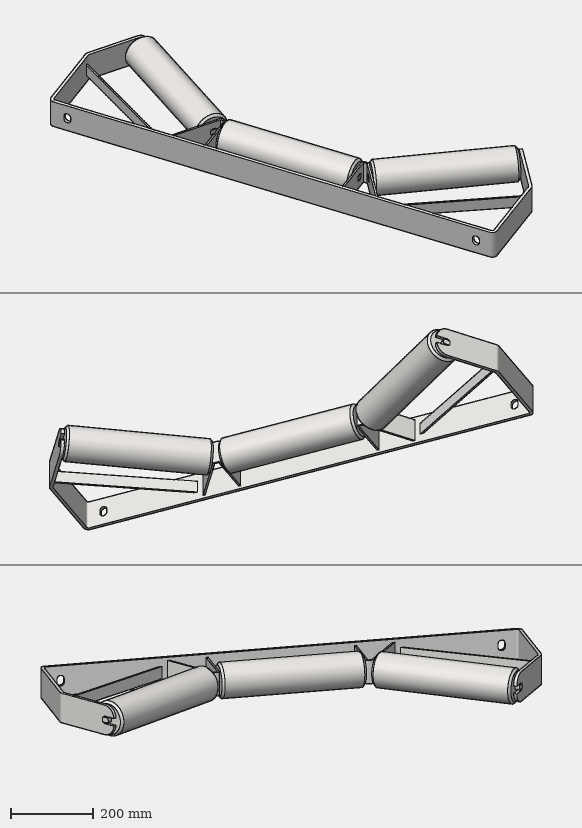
import cadquery as cq
import math


frame_length = 1210.0
strip_thickness = 8.0
strip_height = 76.0
bend_radius = 13.0
bend_height = 209.0
wing_length = 172.0
wing_corner_radius = 30.0
mount_slot_offset = 554.0
mount_slot_width = 18.0
mount_slot_length = 27.0

trough_angle = 35.0
roller_diameter = 90.0
roller_length = 363.0
roller_chamfer = 6.0
shaft_diameter = 19.0
shaft_flats = 13.0
center_axis_height = 102.0
side_axis_height = 111.0

bracket_thickness = 5.0
bracket_height = 128.0
bracket_width = 60.0
bracket_leg_face = 184.0
bracket_foot = 285.0
bracket_corner_radius = 6.0

brace_thickness = 5.0
brace_width = 31.0
brace_wall_height = 198.0
brace_base_offset = 300.0

cos_a = math.cos(math.radians(trough_angle))
sin_a = math.sin(math.radians(trough_angle))
tan_a = sin_a / cos_a
half_length = frame_length / 2
half_roller = roller_length / 2
shaft_radius = shaft_diameter / 2
wing_tip = (half_length - wing_length * sin_a, bend_height + wing_length * cos_a)

side_axis_x = bracket_foot - (side_axis_height - strip_thickness) * tan_a
roller_end_gap = bracket_leg_face - half_roller
side_roller_distance = roller_end_gap + half_roller
wing_distance = (half_length - side_axis_x) * cos_a + (bend_height - side_axis_height) * sin_a


def side_direction(side):
    """Outward direction of the side roller axis on the +X (1) or -X (-1) side."""
    return (side * cos_a, sin_a, 0)


def side_axis_point(distance, side):
    """Point on a side roller axis at a distance from the bracket leg face."""
    return (side * (side_axis_x + distance * cos_a), side_axis_height + distance * sin_a, 0)


def mirrored(points):
    return [(-x, y) for x, y in points]


def extrude_mid(points, width):
    """Prism over an XY outline, centred on Z = 0."""
    return cq.Workplane("XY").polyline(points).close().extrude(width / 2, both=True)


def extrude_side(points, width, side):
    """Prism over an outline given for the +X side, mirrored when side is -1."""
    return extrude_mid(points if side > 0 else mirrored(points), width)


def cylinder_along(origin, direction, radius, start, end):
    """Cylinder between two distances along an axis through origin."""
    axis = cq.Vector(*direction)
    base = cq.Vector(*origin) + axis * start
    return cq.Workplane(cq.Solid.makeCylinder(radius, end - start, base, axis))


def fillet_nearest(body, point, radius):
    """Round the one edge whose centre is nearest to point."""
    return body.edges(cq.selectors.NearestToPointSelector(point)).fillet(radius)


def make_bent_strip():
    t = strip_thickness
    inner_bend = (half_length - t, bend_height - t * math.tan(math.radians(trough_angle / 2)))
    inner_tip = (wing_tip[0] - t * cos_a, wing_tip[1] - t * sin_a)
    outer_face = [(half_length, 0), (half_length, bend_height), wing_tip]
    inner_face = [inner_tip, inner_bend, (half_length - t, t)]
    right_half = outer_face + inner_face
    strip = extrude_mid(right_half + mirrored(right_half[::-1]), strip_height)
    for side in (1, -1):
        for x, y in ((half_length, 0), (half_length, bend_height)):
            strip = fillet_nearest(strip, (side * x, y, 0), bend_radius)
        for x, y in ((half_length - t, t), inner_bend):
            strip = fillet_nearest(strip, (side * x, y, 0), bend_radius - t)
    return strip


def round_wing_corners(frame, side):
    corner_x = wing_tip[0] - strip_thickness / 2 * cos_a
    corner_y = wing_tip[1] - strip_thickness / 2 * sin_a
    for corner_z in (strip_height / 2, -strip_height / 2):
        frame = fillet_nearest(frame, (side * corner_x, corner_y, corner_z), wing_corner_radius)
    return frame


def cut_shaft_slot(frame, side):
    """Slot open at the wing tip, with a round bottom centred on the side roller axis."""
    up_wing = (-side * sin_a, cos_a, 0)
    plane = cq.Plane(side_axis_point(wing_distance, side), up_wing, side_direction(side))
    bottom = cq.Workplane(plane).circle(shaft_radius).extrude(-strip_thickness)
    channel = (
        cq.Workplane(plane)
        .center(wing_length / 2, 0)
        .rect(wing_length, shaft_diameter)
        .extrude(-strip_thickness)
    )
    return frame.cut(bottom).cut(channel)


def make_frame():
    frame = make_bent_strip()
    for side in (1, -1):
        frame = round_wing_corners(frame, side)
        frame = cut_shaft_slot(frame, side)
    mount_slots = (
        cq.Workplane("XZ")
        .pushPoints([(-mount_slot_offset, 0), (mount_slot_offset, 0)])
        .slot2D(mount_slot_length, mount_slot_width, 90)
        .extrude(-strip_thickness)
    )
    return frame.cut(mount_slots)


def make_roller(center, direction, shaft_start, shaft_end):
    """Chamfered drum with a flatted shaft; shaft ends are measured from the drum's centre."""
    drum = cylinder_along(center, direction, roller_diameter / 2, -half_roller, half_roller)
    drum = drum.edges().chamfer(roller_chamfer)
    shaft = cylinder_along(center, direction, shaft_radius, shaft_start, shaft_end)
    slab = cq.Workplane("XY").rect(frame_length, frame_length).extrude(shaft_flats / 2, both=True)
    return drum.union(shaft.intersect(slab))


def make_center_roller():
    shaft_end = bracket_leg_face + bracket_thickness
    return make_roller((0, center_axis_height, 0), (1, 0, 0), -shaft_end, shaft_end)


def make_side_roller(side):
    """The shaft ends flush with the inside of the bracket leg and the outside of the wing."""
    center = side_axis_point(side_roller_distance, side)
    shaft_start = -side_roller_distance - bracket_thickness
    shaft_end = wing_distance - side_roller_distance
    return make_roller(center, side_direction(side), shaft_start, shaft_end)


def make_bracket(side):
    """Bent bracket with an upright leg for the middle roller and a sloping leg for a side roller."""
    t = bracket_thickness
    base = strip_thickness
    face = bracket_leg_face
    top = bracket_height
    slope_top = bracket_foot - (top - base) * tan_a
    inner_foot = bracket_foot - t / cos_a
    inner_slope_top = inner_foot - (top - t - base) * tan_a
    outline = [
        (face, base),
        (face, top),
        (slope_top, top),
        (bracket_foot, base),
        (inner_foot, base),
        (inner_slope_top, top - t),
        (face + t, top - t),
        (face + t, base),
    ]
    bracket = extrude_side(outline, bracket_width, side)
    for x in (face, slope_top):
        bracket = fillet_nearest(bracket, (side * x, top, 0), bracket_corner_radius)
    center_hole = cylinder_along((0, center_axis_height, 0), (side, 0, 0), shaft_radius, face, face + t)
    side_hole = cylinder_along(side_axis_point(0, side), side_direction(side), shaft_radius, -t, 0)
    return bracket.cut(center_hole).cut(side_hole)


def make_brace(side):
    """Flat bar from the end wall down to the base."""
    wall = half_length - strip_thickness
    base = strip_thickness
    slope = math.atan2(brace_wall_height - base, wall - brace_base_offset)
    outline = [
        (wall, brace_wall_height),
        (brace_base_offset, base),
        (brace_base_offset + brace_thickness / math.sin(slope), base),
        (wall, brace_wall_height - brace_thickness / math.cos(slope)),
    ]
    return extrude_side(outline, brace_width, side)


frame = make_frame()
rollers = [make_center_roller()]
brackets = []
braces = []
for side in (1, -1):
    rollers.append(make_side_roller(side))
    brackets.append(make_bracket(side))
    braces.append(make_brace(side))

bodies = [frame, *rollers, *brackets, *braces]
result = cq.Compound.makeCompound([body.solids().val() for body in bodies])